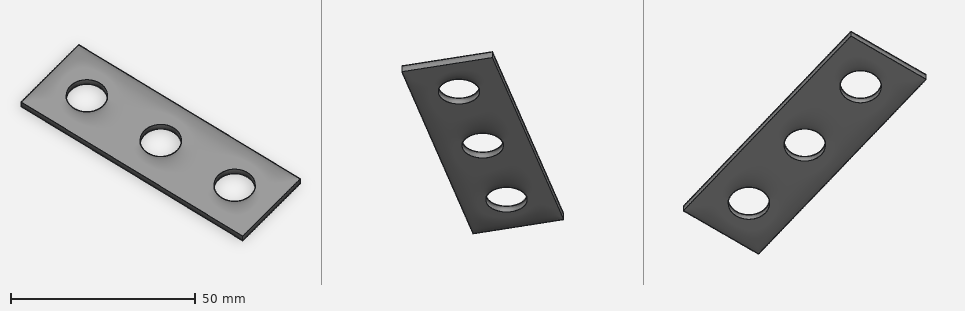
import cadquery as cq

length = 76.2
hole_count = 3
hole_pitch = length / hole_count
width = hole_pitch
thickness = 2.0
hole_diameter = 11.2

strip = cq.Workplane("XY").box(length, width, thickness)

result = (
    strip.faces(">Z")
    .workplane()
    .rarray(hole_pitch, width, hole_count, 1)
    .hole(hole_diameter)
)